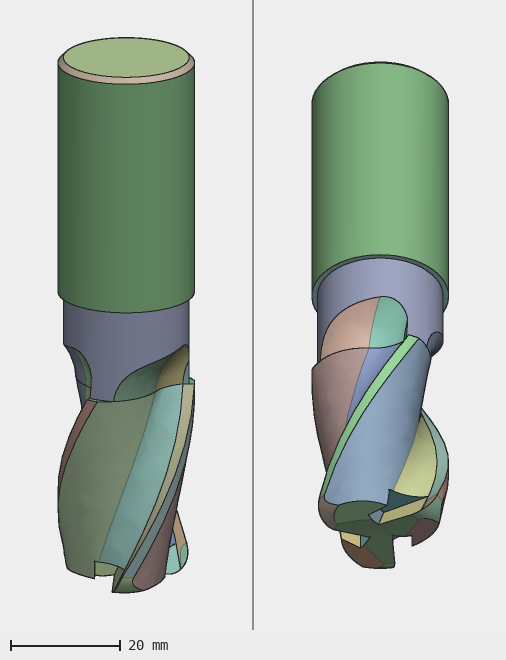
import cadquery as cq
import math

overall_length = 100.0
cutter_diameter = 25.0
shank_bottom = 55.0
shank_chamfer = 1.0
neck_diameter = 23.0

head_length = 37.5
tooth_count = 3
helix_angle = 30.0
first_edge_angle = 180.0
corner_radius = 4.0
rake_depth = 2.1

back_start_radius = 13.25
back_start_angle = -1.5
back_middle_radius = 10.15
back_middle_angle = 40.8
heel_radius = 7.6
heel_angle = 80.0

runout_length = 9.3
runout_rise = 5.0
runout_direction = 110.0
runout_twist = 5.0
runout_steps = 5
flute_cutter_radius = 14.5

gash_height = 4.8
gash_width = 3.2
gash_inner_radius = 1.5
gash_slant = 25.0
gash_skew = 14.0
gash_set_back = 0.5

end_land = 1.5
relief_width = 10.0
relief_angle = 12.0
dish_depth = 1.0
dish_radius = 8.5

cutter_radius = cutter_diameter / 2
neck_radius = neck_diameter / 2
tooth_pitch = 360.0 / tooth_count
helix_lead = math.pi * cutter_diameter / math.tan(math.radians(helix_angle))
twist_per_mm = 360.0 / helix_lead


def polar(radius, angle):
    """Point at a radius and an angle in degrees around the tool axis."""
    return cq.Vector(radius * math.cos(math.radians(angle)), radius * math.sin(math.radians(angle)))


def flute_section(edge_angle, height, shift):
    """Closed outline of the flute behind one tooth, moved sideways by a shift."""
    next_edge_angle = edge_angle + tooth_pitch
    back_start = polar(back_start_radius, edge_angle + back_start_angle)
    back_middle = polar(back_middle_radius, edge_angle + back_middle_angle)
    heel = polar(heel_radius, edge_angle + heel_angle)
    rake_foot = polar(cutter_radius - rake_depth, next_edge_angle)
    outer_start = polar(flute_cutter_radius, edge_angle + back_start_angle)
    outer_middle = polar(flute_cutter_radius, edge_angle + tooth_pitch / 2)
    outer_end = polar(flute_cutter_radius, next_edge_angle)

    outline = cq.Workplane("XY").moveTo(back_start.x, back_start.y)
    outline = outline.threePointArc(back_middle, heel)
    outline = outline.tangentArcPoint(rake_foot, relative=False)
    outline = outline.lineTo(outer_end.x, outer_end.y)
    outline = outline.threePointArc(outer_middle, outer_start).close()
    return outline.val().moved(cq.Location(shift + cq.Vector(0, 0, height)))


def gash(edge_angle):
    """Flat-faced notch that squares off the flute, from the cutting corner in towards the axis."""
    slant = gash_height * math.tan(math.radians(gash_slant))
    lead_in = (cutter_radius - gash_inner_radius) * math.tan(math.radians(gash_skew))
    profile = [(0, 0), (slant, gash_height), (-gash_width, gash_height), (-gash_width, 0)]
    notch = cq.Workplane("YZ").polyline(profile).close().extrude(flute_cutter_radius)
    notch = notch.rotate((0, 0, 0), (0, 0, 1), gash_skew)
    notch = notch.translate((gash_inner_radius, gash_set_back - lead_in, 0))
    return notch.rotate((0, 0, 0), (0, 0, 1), edge_angle)


def end_relief(edge_angle):
    """Wedge that lifts the end of a tooth behind its narrow flat land."""
    rise = relief_width * math.tan(math.radians(relief_angle))
    relief_end = end_land + relief_width
    profile = [(end_land, 0), (relief_end, rise), (relief_end, 0)]
    wedge = cq.Workplane("YZ").polyline(profile).close().extrude(flute_cutter_radius)
    return wedge.rotate((0, 0, 0), (0, 0, 1), edge_angle)


def make_head():
    """Cutting head: a rounded-end cylinder with helical flutes and ground tips."""
    head = cq.Workplane("XY").circle(cutter_radius).extrude(head_length)
    head = head.faces("<Z").edges().fillet(corner_radius)
    for tooth in range(tooth_count):
        edge_angle = first_edge_angle + tooth * tooth_pitch
        flute = cq.Workplane(flute_section(edge_angle, 0, cq.Vector())).toPending()
        head = head.cut(flute.twistExtrude(head_length, head_length * twist_per_mm))
    for tooth in range(tooth_count):
        edge_angle = first_edge_angle + tooth * tooth_pitch
        head = head.cut(gash(edge_angle)).cut(end_relief(edge_angle))
    dish = cq.Solid.makeCone(dish_radius, 0, dish_depth)
    return head.cut(cq.Workplane(dish))


def flute_runout(tooth):
    """Flute that carries on past the head and climbs out of the neck."""
    head_top_angle = first_edge_angle + tooth * tooth_pitch + head_length * twist_per_mm
    sections = []
    for step in range(runout_steps + 1):
        part_way = step / runout_steps
        edge_angle = head_top_angle + part_way * runout_twist
        shift = polar(runout_rise * part_way ** 2, edge_angle + runout_direction)
        height = head_length + part_way * runout_length
        sections.append(flute_section(edge_angle, height, shift))
    return cq.Workplane(cq.Solid.makeLoft(sections))


def make_shank():
    """Plain grip and a thinner neck into which the flutes run out."""
    neck = cq.Workplane("XY").workplane(offset=head_length).circle(neck_radius)
    neck = neck.extrude(shank_bottom - head_length)
    for tooth in range(tooth_count):
        neck = neck.cut(flute_runout(tooth))
    grip = cq.Workplane("XY").workplane(offset=shank_bottom).circle(cutter_radius)
    grip = grip.extrude(overall_length - shank_bottom).faces(">Z").chamfer(shank_chamfer)
    return neck.union(grip)


shank = make_shank()
cutting_head = make_head()
result = cq.Compound.makeCompound([shank.solids().val(), cutting_head.solids().val()])